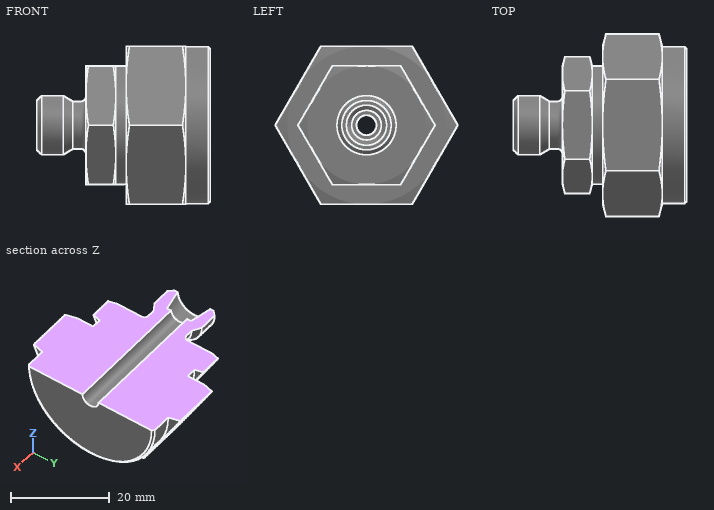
import cadquery as cq
import math

spigot_end = 5.45
neck_start = 7.35
small_hex_start = 9.98
small_hex_end = 16.0
large_hex_start = 18.1
large_hex_end = 30.15
total_length = 35.15

spigot_radius = 6.0
spigot_chamfer = 1.0
neck_radius = 4.85
neck_fillet = 1.0

hex_sides = 6
hex_flat_to_corner = math.cos(math.pi / hex_sides)
large_corner_width = 36.95
large_flat_width = large_corner_width * hex_flat_to_corner
small_flat_width = 23.98
hex_chamfer_angle = 15.0

collar_radius = small_flat_width / 2
cap_radius = 15.9
cap_chamfer = 0.48

bore_radius = 2.0
seat_mouth_radius = 4.05
seat_floor_radius = 3.0
seat_half_angle = 12.0
seat_depth = (seat_mouth_radius - seat_floor_radius) / math.tan(math.radians(seat_half_angle))


def revolve_about_x(outline):
    """Revolve an outline drawn in the XY plane around the X axis."""
    return outline.close().revolve(360, (0, 0, 0), (1, 0, 0))


def chamfered_hex(start, end, flat_width):
    """Hexagonal prism whose corners are cut back by a shallow cone at both ends."""
    flat_radius = flat_width / 2
    corner_radius = flat_radius / hex_flat_to_corner
    corner_setback = (corner_radius - flat_radius) * math.tan(math.radians(hex_chamfer_angle))
    prism = (
        cq.Workplane("YZ", origin=(start, 0, 0))
        .polygon(hex_sides, 2 * corner_radius)
        .extrude(end - start)
    )
    envelope = revolve_about_x(
        cq.Workplane("XY")
        .moveTo(start, 0)
        .lineTo(start, flat_radius)
        .lineTo(start + corner_setback, corner_radius)
        .lineTo(end - corner_setback, corner_radius)
        .lineTo(end, flat_radius)
        .lineTo(end, 0)
    )
    return prism.intersect(envelope)


def turned_body():
    """Round core: spigot, neck, collar between the hexagons and end cap."""
    fillet_bulge = neck_fillet * (1 - math.cos(math.radians(45)))
    return revolve_about_x(
        cq.Workplane("XY")
        .moveTo(0, 0)
        .lineTo(0, spigot_radius - spigot_chamfer)
        .lineTo(spigot_chamfer, spigot_radius)
        .lineTo(spigot_end, spigot_radius)
        .lineTo(neck_start, neck_radius)
        .lineTo(small_hex_start - neck_fillet, neck_radius)
        .threePointArc(
            (small_hex_start - fillet_bulge, neck_radius + fillet_bulge),
            (small_hex_start, neck_radius + neck_fillet),
        )
        .lineTo(small_hex_start, collar_radius)
        .lineTo(large_hex_start, collar_radius)
        .lineTo(large_hex_start, cap_radius)
        .lineTo(total_length - cap_chamfer, cap_radius)
        .lineTo(total_length, cap_radius - cap_chamfer)
        .lineTo(total_length, 0)
    )


def tapered_bore():
    """Through bore with a tapered seat ending in a flat floor."""
    return revolve_about_x(
        cq.Workplane("XY")
        .moveTo(0, 0)
        .lineTo(0, seat_mouth_radius)
        .lineTo(seat_depth, seat_floor_radius)
        .lineTo(seat_depth, bore_radius)
        .lineTo(total_length, bore_radius)
        .lineTo(total_length, 0)
    )


result = (
    turned_body()
    .union(chamfered_hex(small_hex_start, small_hex_end, small_flat_width))
    .union(chamfered_hex(large_hex_start, large_hex_end, large_flat_width))
    .cut(tapered_bore())
)